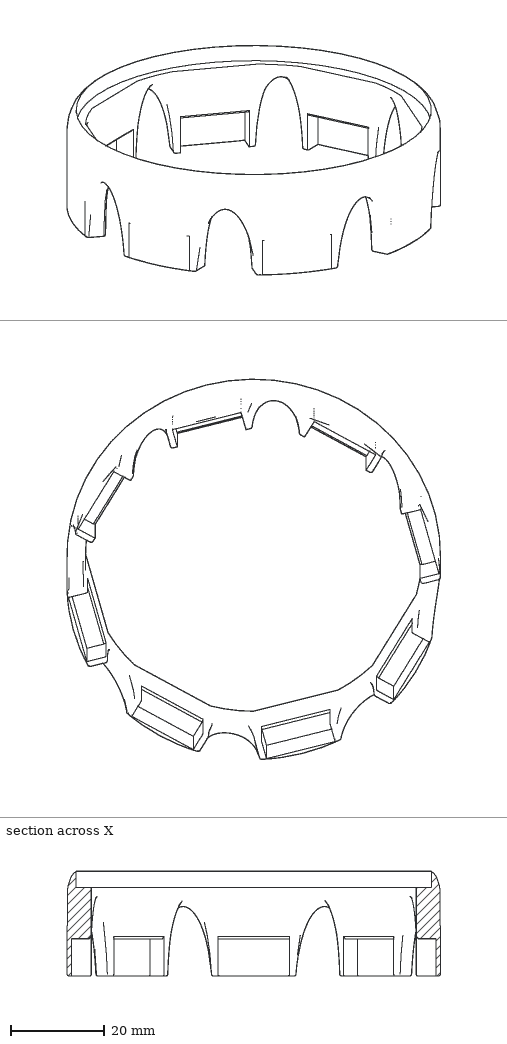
import cadquery as cq
import math

height = 22.5
outer_radius = 40.0
rim_radius = 38.0
ledge_height = 19.0
bore_radius = 36.0
flat_distance = 34.75
side_count = 8
side_step = 360.0 / side_count

lower_arc_start = (outer_radius, 17.9)
lower_arc_middle = (39.9, 19.03)
lower_arc_end = (39.6, 20.1)
upper_arc_start = (39.45, 20.5)
upper_arc_middle = (38.97, 21.6)
upper_arc_end = (rim_radius, height)

inner_section_distance = 34.5
inner_half_width = 4.5
inner_rise = 18.2
inner_center_drop = 2.0
outer_section_distance = 40.5
outer_half_width = 7.4
outer_rise = 14.1
outer_center_drop = 6.0
arch_overrun = 0.4

edge_radius = 0.5

pocket_width = 15.2
pocket_height = 8.0
pocket_floor_distance = 39.0
pocket_lip_chamfer = 0.5

tolerance = 0.01


def turned(shape, angle):
    """Shape turned about the ring axis."""
    return shape.rotate((0, 0, 0), (0, 0, 1), angle)


def octagonal_bore():
    """Round bore with its sides cut off by eight flats."""
    bore = cq.Workplane("XY").circle(bore_radius).extrude(ledge_height)
    slab = cq.Workplane("XY").box(
        2 * flat_distance, 2 * outer_radius, ledge_height, centered=(True, True, False)
    )
    for index in range(side_count // 2):
        bore = bore.intersect(turned(slab, index * side_step))
    return bore


def ring_body():
    profile = (
        cq.Workplane("XZ")
        .moveTo(0, 0)
        .lineTo(outer_radius, 0)
        .lineTo(*lower_arc_start)
        .threePointArc(lower_arc_middle, lower_arc_end)
        .lineTo(*upper_arc_start)
        .threePointArc(upper_arc_middle, upper_arc_end)
        .lineTo(rim_radius, ledge_height)
        .lineTo(0, ledge_height)
        .close()
    )
    body = profile.revolve(360, (0, 0, 0), (0, 1, 0))
    return body.cut(octagonal_bore())


def arch_outline(distance, half_width, rise, center_drop):
    """Elliptical arch with a straight foot, in the plane x = distance."""
    semi_height = rise + center_drop
    foot_height = center_drop - arch_overrun
    foot_ratio = foot_height / semi_height
    foot_half_width = math.sqrt(1 - foot_ratio ** 2)
    foot_angle = math.degrees(math.atan2(foot_ratio, foot_half_width))
    outline = (
        cq.Workplane("YZ", origin=(distance, 0, -center_drop))
        .ellipseArc(half_width, semi_height, foot_angle, 180 - foot_angle, startAtCurrent=False)
        .close()
    )
    return outline.wires().val() if outline.wires().size() else outline.val()


def arch_cutter():
    inner = arch_outline(inner_section_distance, inner_half_width, inner_rise, inner_center_drop)
    outer = arch_outline(outer_section_distance, outer_half_width, outer_rise, outer_center_drop)
    ruled = True
    return cq.Workplane(cq.Solid.makeLoft([inner, outer], ruled))


def cut_all(body, tool, first_angle):
    """Cut the tool out of the body once per side."""
    for index in range(side_count):
        body = body.cut(turned(tool, first_angle + index * side_step))
    return body


def is_rounded(edge):
    """True for every bottom edge and for all edges of the arches."""
    on_bottom = edge.BoundingBox().zmax < tolerance
    return on_bottom or edge.geomType() == "BSPLINE"


def round_edges(body):
    rounded_edges = [edge for edge in body.edges().vals() if is_rounded(edge)]
    return body.newObject(rounded_edges).fillet(edge_radius)


def pocket_cutter():
    profile = (
        cq.Workplane("XZ")
        .lineTo(pocket_floor_distance, 0)
        .lineTo(pocket_floor_distance, pocket_height)
        .lineTo(flat_distance + pocket_lip_chamfer, pocket_height)
        .lineTo(flat_distance, pocket_height + pocket_lip_chamfer)
        .lineTo(0, pocket_height + pocket_lip_chamfer)
        .close()
    )
    return profile.extrude(pocket_width / 2, both=True)


result = ring_body()
result = cut_all(result, arch_cutter(), side_step / 2)
result = round_edges(result)
result = cut_all(result, pocket_cutter(), 0)